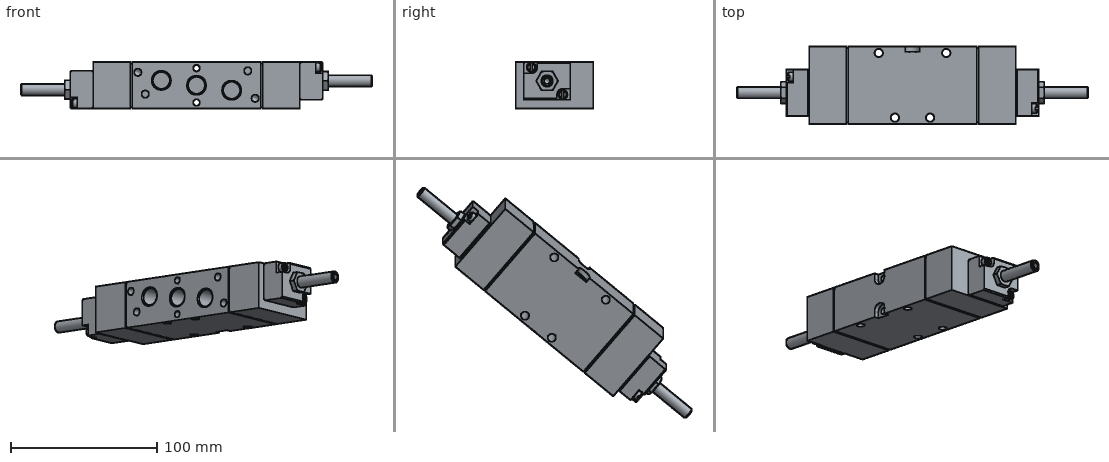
import cadquery as cq
import math

TOTAL_LENGTH = 240.0
DEPTH = 53.0
HEIGHT = 32.0

BODY_END = 44.0
BLOCK_START = 45.0
BLOCK_END = 70.5
COIL_END = 86.5
NUT_END = 90.0
ROD_END = TOTAL_LENGTH / 2

GASKET_INSET = 1.0
GASKET_OVERLAP = 0.2

COIL_WIDTH = 32.0
COIL_HEIGHT = 26.0
COIL_CHAMFER = 1.0
COIL_Y = -5.0
COIL_Z = (COIL_HEIGHT - HEIGHT) / 2

SCREW_Y = 10.8
SCREW_Z = 9.4
SCREW_HEAD_DIAMETER = 6.2
SCREW_HEAD_RECESS = 1.2
SCREW_HEAD_CHAMFER = 0.7
SLOT_WIDTH = 1.5
SLOT_DEPTH = 1.5
POCKET_RADIUS = 4.0
POCKET_DEPTH = 5.0

NUT_FLATS = 13.0
NUT_CORNERS = NUT_FLATS / math.cos(math.pi / 6)
NUT_CHAMFER = 0.43
ROD_DIAMETER = 8.0
ROD_CHAMFER = 0.7
ROD_HOLE_DIAMETER = 4.0
ROD_HOLE_DEPTH = 7.2

PORT_DIAMETER = 11.5
PORT_MOUTH_DIAMETER = 13.2
PORT_DEPTH = 19.2
PORT_CENTRES = [(-24.0, 3.4), (0.0, 0.0), (24.0, -3.4)]

PIN_HOLE_DIAMETER = 5.0
PIN_HOLE_DEPTH = 7.2
DRILLED_CENTRES = [(-40.0, 9.0), (40.0, -9.0)]
FLAT_CENTRES = [(-35.0, -6.0), (35.0, 9.8)]
CROSS_HOLE_DIAMETER = 4.3
CROSS_HOLE_Z = 11.8
DRILL_POINT_ANGLE = math.radians(118)

MOUNT_HOLE_DIAMETER = 5.5
MOUNT_CENTRES = [(-23.0, 22.0), (23.0, 22.0), (-12.0, -22.0), (12.0, -22.0)]

RECESS_WIDTH = 9.5
RECESS_DEPTH = 3.5

X_AXIS = cq.Vector(1, 0, 0)
Y_AXIS = cq.Vector(0, 1, 0)
Z_AXIS = cq.Vector(0, 0, 1)


def slab(x_start, x_end, width, height, y=0.0, z=0.0):
    """Box between two X stations, centred on (y, z)."""
    box = cq.Workplane("XY").box(x_end - x_start, width, height)
    return box.translate(((x_start + x_end) / 2, y, z))


def cylinder(diameter, length, start, direction):
    """Cylinder growing from a start point along a direction."""
    return cq.Workplane(obj=cq.Solid.makeCylinder(diameter / 2, length, cq.Vector(*start), direction))


def drilled_hole(diameter, depth, start, direction):
    """Blind hole with a conical drill point."""
    radius = diameter / 2
    tip = radius / math.tan(DRILL_POINT_ANGLE / 2)
    tip_start = cq.Vector(*start) + direction * depth
    cone = cq.Solid.makeCone(radius, 0, tip, tip_start, direction)
    return cylinder(diameter, depth, start, direction).union(cq.Workplane(obj=cone))


def make_body():
    """Middle block with its ports, pin holes, cross holes, mounting holes and back recesses."""
    front = -DEPTH / 2
    body = slab(-BODY_END, BODY_END, DEPTH, HEIGHT)
    mouth_depth = (PORT_MOUTH_DIAMETER - PORT_DIAMETER) / 2
    for x, z in PORT_CENTRES:
        mouth = cq.Solid.makeCone(
            PORT_MOUTH_DIAMETER / 2, PORT_DIAMETER / 2, mouth_depth, cq.Vector(x, front, z), Y_AXIS
        )
        body = body.cut(cylinder(PORT_DIAMETER, PORT_DEPTH, (x, front, z), Y_AXIS))
        body = body.cut(cq.Workplane(obj=mouth))
    for x, z in DRILLED_CENTRES:
        body = body.cut(drilled_hole(PIN_HOLE_DIAMETER, PIN_HOLE_DEPTH, (x, front, z), Y_AXIS))
    for x, z in FLAT_CENTRES:
        body = body.cut(cylinder(PIN_HOLE_DIAMETER, PIN_HOLE_DEPTH, (x, front, z), Y_AXIS))
    for z in (-CROSS_HOLE_Z, CROSS_HOLE_Z):
        body = body.cut(cylinder(CROSS_HOLE_DIAMETER, DEPTH, (0, front, z), Y_AXIS))
    for x, y in MOUNT_CENTRES:
        body = body.cut(cylinder(MOUNT_HOLE_DIAMETER, HEIGHT, (x, y, -HEIGHT / 2), Z_AXIS))
    for turn in (0, 180):
        body = body.cut(make_back_recess().rotate((0, 0, 0), (0, 1, 0), turn))
    return body


def make_back_recess():
    """Round-bottomed recess around the upper cross hole, open to the top and back faces."""
    back_start = (0, DEPTH / 2 - RECESS_DEPTH, CROSS_HOLE_Z)
    round_bottom = cylinder(RECESS_WIDTH, RECESS_DEPTH, back_start, Y_AXIS)
    opening_height = HEIGHT / 2 - CROSS_HOLE_Z
    opening = slab(
        -RECESS_WIDTH / 2,
        RECESS_WIDTH / 2,
        RECESS_DEPTH,
        opening_height,
        (DEPTH - RECESS_DEPTH) / 2,
        CROSS_HOLE_Z + opening_height / 2,
    )
    return round_bottom.union(opening)


def make_corner_pocket(side):
    """Corner pocket around one screw, at +Y +Z for side +1 and at -Y -Z for side -1."""
    floor_x = COIL_END - POCKET_DEPTH
    reach_y = COIL_WIDTH / 2 - SCREW_Y + POCKET_RADIUS
    reach_z = COIL_HEIGHT / 2 - SCREW_Z + POCKET_RADIUS
    y = side * (COIL_WIDTH - reach_y) / 2
    z = side * (COIL_HEIGHT - reach_z) / 2
    pocket = slab(floor_x, COIL_END, reach_y, reach_z, y, z)
    inner_edge = "<Y and <Z" if side > 0 else ">Y and >Z"
    return pocket.edges("|X").edges(inner_edge).fillet(POCKET_RADIUS)


def make_screw(side):
    """Slotted screw head standing on the floor of a corner pocket."""
    floor_x = COIL_END - POCKET_DEPTH
    top_x = COIL_END - SCREW_HEAD_RECESS
    y = side * SCREW_Y
    z = side * SCREW_Z
    head = cylinder(SCREW_HEAD_DIAMETER, top_x - floor_x, (floor_x, y, z), X_AXIS)
    head = head.faces(">X").chamfer(SCREW_HEAD_CHAMFER)
    return head.cut(slab(top_x - SLOT_DEPTH, top_x, SLOT_WIDTH, SCREW_HEAD_DIAMETER, y, z))


def make_nut():
    """Hexagonal nut with a pair of level flats and turned outer corners."""
    length = NUT_END - COIL_END
    nut = cq.Workplane("YZ").polygon(6, NUT_CORNERS).extrude(length)
    envelope = cylinder(NUT_CORNERS, length, (0, 0, 0), X_AXIS).faces(">X").chamfer(NUT_CHAMFER)
    return nut.intersect(envelope).translate((COIL_END, 0, 0))


def make_rod():
    """Rod with a chamfered tip and a drilled hole in its end."""
    rod = cylinder(ROD_DIAMETER, ROD_END - COIL_END, (COIL_END, 0, 0), X_AXIS)
    rod = rod.faces(">X").chamfer(ROD_CHAMFER)
    return rod.cut(drilled_hole(ROD_HOLE_DIAMETER, ROD_HOLE_DEPTH, (ROD_END, 0, 0), X_AXIS * -1))


def make_pilot():
    """Pilot head, screws, nut and rod pointing along +X, centred on the rod axis."""
    pilot = slab(BLOCK_END, COIL_END, COIL_WIDTH, COIL_HEIGHT).edges("|Y").chamfer(COIL_CHAMFER)
    for side in (-1, 1):
        pilot = pilot.cut(make_corner_pocket(side)).union(make_screw(side))
    return pilot.union(make_nut()).union(make_rod())


def make_right_end():
    """Gasket, end block and pilot for the +X end, with the pilot flush with the top."""
    gasket = slab(
        BODY_END - GASKET_OVERLAP,
        BLOCK_START + GASKET_OVERLAP,
        DEPTH - 2 * GASKET_INSET,
        HEIGHT - 2 * GASKET_INSET,
    )
    block = slab(BLOCK_START, BLOCK_END, DEPTH, HEIGHT)
    pilot = make_pilot().mirror("XZ").translate((0, COIL_Y, -COIL_Z))
    return gasket.union(block).union(pilot)


right_end = make_right_end()
left_end = right_end.rotate((0, 0, 0), (0, 1, 0), 180)
result = make_body().union(right_end).union(left_end)